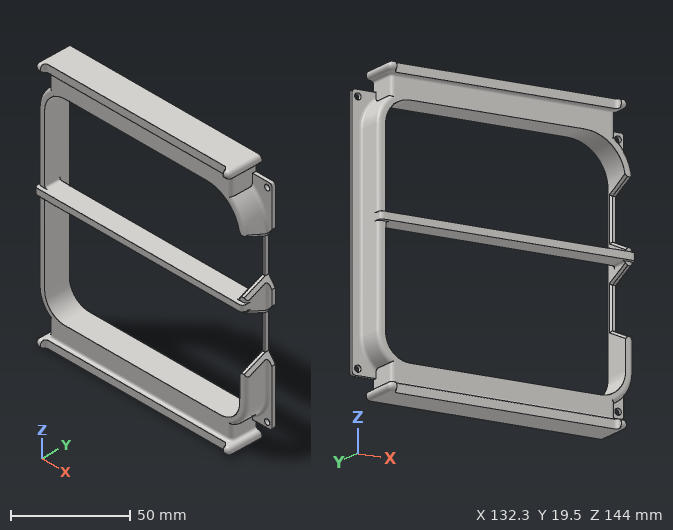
import cadquery as cq
height = 144.0
plate_width = 132.3
plate_height = 124.8
plate_thickness = 2.2
plate_corner_radius = 1.5
hole_diameter = 3.0
hole_x = 63.4
hole_z = 59.3

body_depth = 14.5
body_width = 109.3
edge_radius = 2.0
base_fillet = 1.6

opening_left = -57.2
opening_right = 59.6
opening_half_height = 57.3
small_corner_radius = 12.0
large_corner_radius = 20.0
wall = 4.0

flange_thickness = 4.3
flange_depth = 16.7
cove_radius = 1.5
rail_inner_x = body_width / 2
rail_outer_x = 58.2
rail_depth = 19.5

bar_bottom = 2.7
bar_top = 6.3
bar_back = 5.6
bar_front = 16.8
bar_left = opening_left - wall
bar_right = opening_right + wall
bar_fillet = 1.3

gap_length = 20.0
gap_floor_x = 62.2
gap_spacing = 38.7
gap_middle_z = 4.82
gap_slope_x = 1.3
gap_slope_y = 0.44
gap_edge_chamfer = 1.0

pick_margin = 0.1


def slab(width, depth, z_low, z_high):
    """Block centred on X, running forward from the back face."""
    return cq.Workplane("XY").box(
        width, depth, z_high - z_low, centered=(True, False, False)
    ).translate((0, -depth, z_low))


def rounded_window(grow, depth):
    """Opening outline offset outward by grow; only the upper right corner is large."""
    width = opening_right - opening_left + 2 * grow
    tall = 2 * (opening_half_height + grow)
    block = slab(width, depth, -tall / 2, tall / 2)
    block = block.translate(((opening_left + opening_right) / 2, 0, 0))
    block = block.edges("|Y and (<X or <Z)").fillet(small_corner_radius + grow)
    return block.edges("|Y and >X and >Z").fillet(large_corner_radius + grow)


def edges_inside(body, low, high):
    """Edges whose middle lies in the box between two opposite corners."""
    return body.edges(cq.selectors.BoxSelector(low, high))


def make_frame():
    """Rim, upper and lower bands and the drilled mounting plate behind them."""
    bands = slab(body_width, body_depth, -height / 2, height / 2)
    plate = slab(plate_width, plate_thickness, -plate_height / 2, plate_height / 2)
    plate = plate.edges("|Y").fillet(plate_corner_radius)
    frame = rounded_window(wall, body_depth).union(bands).union(plate)

    for side in (-1, 1):
        near = (side * (body_width / 2 + pick_margin), -plate_thickness - pick_margin, -hole_z)
        far = (side * plate_width / 2 - side * plate_corner_radius, -plate_thickness + pick_margin, hole_z)
        frame = edges_inside(frame, near, far).fillet(base_fillet)

    frame = frame.faces("<Y").edges("not(<Z or >Z)").fillet(edge_radius)
    holes = (
        cq.Workplane("XZ")
        .rect(2 * hole_x, 2 * hole_z, forConstruction=True)
        .vertices()
        .circle(hole_diameter / 2)
        .extrude(plate_thickness)
    )
    return frame.cut(holes).cut(rounded_window(0, body_depth))


def make_flange():
    """Upper end flange: a plate with full-round ends and front, recessed between two rails."""
    radius = flange_thickness / 2
    middle = height / 2 - radius
    core_x = rail_outer_x - radius
    core_depth = rail_depth - radius

    flange = slab(2 * core_x, core_depth, height / 2 - flange_thickness, height / 2)
    front_left = (-core_x, -core_depth, middle)
    front_round = cq.Workplane("YZ", origin=front_left).circle(radius).extrude(2 * core_x)
    flange = flange.union(front_round)
    for x in (-core_x, core_x):
        end_round = cq.Workplane("XZ", origin=(x, 0, middle)).circle(radius).extrude(core_depth)
        corner = cq.Workplane("XY", origin=(x, -core_depth, middle)).sphere(radius)
        flange = flange.union(end_round).union(corner)

    recess = slab(2 * rail_inner_x, flange_depth, middle - flange_thickness, height)
    recess = recess.translate((0, -flange_depth, 0)).edges("|Z and >Y").fillet(edge_radius)
    return flange.cut(recess)


def add_flanges(frame):
    """Join a flange to both ends and run a cove around the band under each one."""
    flange = make_flange()
    frame = frame.union(flange).union(flange.mirror("XY"))
    side = body_width / 2 + pick_margin
    for sign in (-1, 1):
        joint_z = sign * (height / 2 - flange_thickness)
        near = (-side, -body_depth - pick_margin, joint_z - pick_margin)
        far = (side, -pick_margin, joint_z + pick_margin)
        frame = edges_inside(frame, near, far).fillet(cove_radius)
    return frame


def make_gap():
    """Cutter for one gap in the right side: a notch in the plate that widens toward the front."""
    inner_x = opening_right - wall
    outer_x = plate_width / 2
    front = rail_depth

    def outline(depth):
        inner = gap_length / 2 + gap_slope_y * (depth - plate_thickness)
        outer = inner + gap_slope_x * (outer_x - gap_floor_x)
        floor = [(gap_floor_x, inner), (outer_x, outer), (outer_x, -outer), (gap_floor_x, -inner)]
        return floor, [(inner_x, -inner), (inner_x, inner)]

    notch, _ = outline(plate_thickness)
    cutter = cq.Workplane("XZ").polyline(notch).close().extrude(plate_thickness)
    back = sum(outline(plate_thickness), [])
    opening = (
        cq.Workplane("XZ", origin=(0, -plate_thickness, 0))
        .polyline(back)
        .close()
        .workplane(offset=front - plate_thickness)
        .polyline(sum(outline(front), []))
        .close()
        .loft(ruled=True)
    )
    return cutter.union(opening)


def cut_gaps(frame):
    """Cut both gaps and break their edges along the opening."""
    for side in (-1, 1):
        middle = gap_middle_z + side * gap_spacing / 2
        frame = frame.cut(make_gap().translate((0, 0, middle)))
        reach = gap_length / 2 + gap_slope_y * body_depth
        near = (opening_right - pick_margin, -body_depth + pick_margin, middle - reach)
        far = (opening_right + pick_margin, -pick_margin, middle + reach)
        rim_edges = edges_inside(frame, near, far).edges("not(|Y)")
        frame = rim_edges.chamfer(gap_edge_chamfer)
    return frame


def add_bar(frame):
    """Cross bar between the side walls, filleted where it meets them."""
    bar = slab(bar_right - bar_left, bar_front - bar_back, bar_bottom, bar_top)
    bar = bar.translate(((bar_left + bar_right) / 2, -bar_back, 0))
    bar = bar.faces("<Y").edges("|Z").fillet(edge_radius)
    frame = frame.union(bar)
    for x in (opening_left, opening_right):
        near = (x - pick_margin, -body_depth, bar_bottom - pick_margin)
        far = (x + pick_margin, -bar_back - pick_margin, bar_top + pick_margin)
        frame = edges_inside(frame, near, far).edges("|Y").fillet(bar_fillet)
    return frame


frame = make_frame()
frame = add_flanges(frame)
frame = add_bar(frame)
result = cut_gaps(frame)